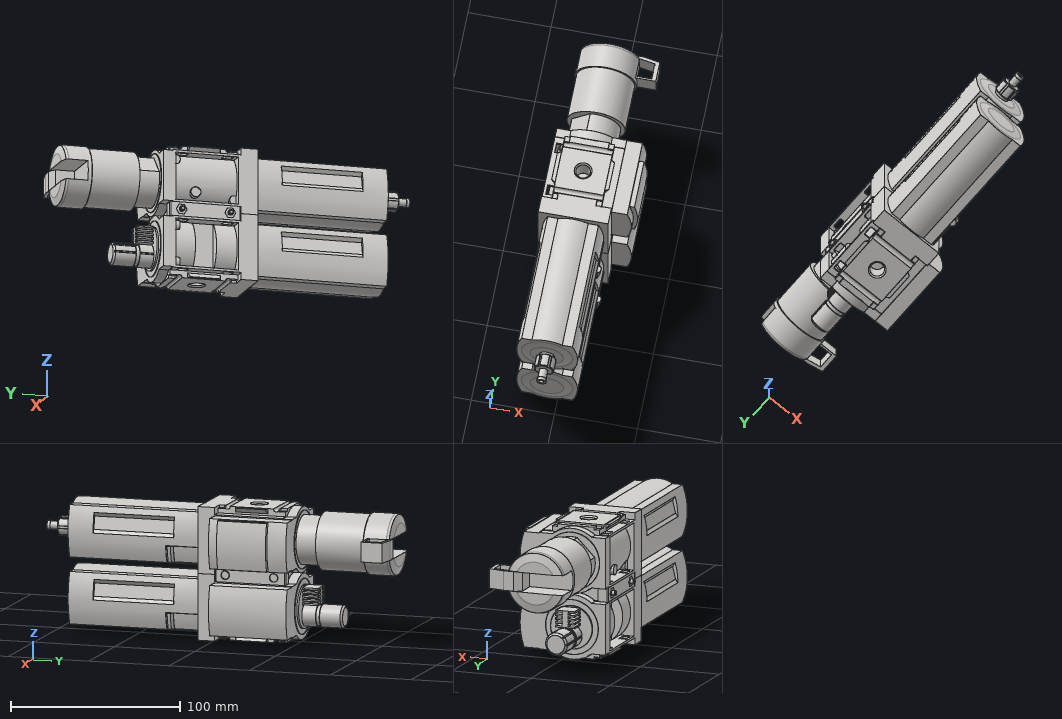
import cadquery as cq
import math


module_height = 40.2
half_height = module_height / 2
half_width = 21.1
lower_axis_z = -module_height
joint_z = -half_height

frame_half_height = 15.8
rear_half_height = 15.4
frame_half_length = 21.05
rear_flange_end = 27.0
rear_hub_radius = 19.8
front_flange_end = -31.5

window_half_length = 19.3
window_half_height = 14.4
window_depth = 11.0
core_radius = 19.0
frame_slot_x = (-19.2, -15.0)
frame_slot_length = 6.1
frame_slot_y = 14.0
core_boss_diameter = 6.1
core_boss_root_x = -10.0
core_boss_y = 6.3
core_boss_z = -8.4
core_boss_face_x = -19.3
corner_boss_y = 18.3
corner_boss_z = 11.3
corner_boss_face_x = -17.0
corner_lug_x = -16.0
corner_lug_length = 3.3
core_flat_x = -12.0
core_flat_half_length = 6.5

plate_half_width = 14.9
groove_diameter = 3.5
groove_y = 15.25
notch_width = 3.2
notch_length = 4.0
notch_depth = 1.5
port_diameter = 10.5
port_core_diameter = 8.6
port_depth = 12.0
port_chamfer = (port_diameter - port_core_diameter) / 2
lip_half_length = 10.2
lip_taper = 1.2
lip_reach = 2.3
lip_setback = 0.4
lip_height = 2.7
lip_top = half_height - lip_setback
lip_bottom = lip_top - lip_height

cover_edge_x = 30.6
cover_crown_x = 33.15
cover_half_height = 15.1
gauge_edge_x = 33.8
gauge_crown_x = 35.8
gauge_half_height = 14.6
gauge_half_length = 15.2

bowl_end = -113.0
bowl_half_width = 18.4
bowl_corner_x = 15.3
bowl_corner_z = 15.8
bowl_hub_radius = 18.25
base_cone_radius = 15.5
base_tip_radius = 10.0
base_cone_height = 0.8
sight_start = -47.4
sight_length = 50.0
sight_top = 12.1
sight_top_x = -16.6
sight_floor_upper = (-15.0, 9.7)
sight_floor_lower = (-16.9, 2.0)
bowl_side_rise = bowl_half_width - bowl_corner_x
bowl_side_radius = (bowl_corner_z**2 + bowl_side_rise**2) / (2 * bowl_side_rise)
bowl_side_centre_x = bowl_half_width - bowl_side_radius
latch_top = -5.0
latch_bottom = -14.9
latch_thickness = 0.6
button_height = 2.3
button_length = 4.8
button_chamfer = 1.4

drain_end = -131.2
drain_nut_start = -115.5
drain_nut_end = -123.6
drain_nut_diameter = 12.0
drain_neck_diameter = 9.2
drain_tip_diameter = 5.6
drain_tip_waist_diameter = 5.0
drain_tip_collar = 2.0
drain_bore_diameter = 3.0
drain_bore_depth = 10.0
drain_nut_chamfer = 0.5
drain_slot_count = 6
drain_slot_width = 1.5
drain_slot_depth = 0.9

collar_diameter = 35.0
collar_height = 0.45
collar_end = rear_flange_end + collar_height
stem_diameter = 29.8
stem_flat_distance = 12.7
knob_start = 40.4
knob_diameter = 35.2
cap_start = 70.1
cap_diameter = 37.2
cap_rim = 84.4
cap_edge = 86.0
cap_edge_radius = 18.1
cap_end = 87.3
cap_top_radius = 13.0
cap_slot_width = 12.0
cap_slot_floor = 72.7

loop_start_x = 9.0
loop_ramp_x = 13.5
loop_shoulder_x = 20.0
loop_outer_x = 29.8
loop_outer_y = 85.5
loop_hole_x = (17.6, 27.0)
loop_hole_floor = 74.0
loop_hole_top = (85.5, 83.9)

switch_disc_radius = 16.7
switch_hub_radius = 13.2
switch_hub_end = 28.5
switch_plug_offset_z = -4.8
switch_plug_diameter = 13.8
switch_plug_end = 53.4
switch_plug_chamfer = 1.2
switch_groove_diameter = 12.6
switch_groove_y = (37.0, 39.3)
switch_flute_width = 0.9
switch_flute_depth = 0.6
fin_block_end = 38.4
fin_block_half_width = 6.0
fin_block_z = (2.0, 12.3)
fin_count = 5
fin_thickness = 1.0
fin_depth = 4.0

clamp_half_height = half_height - frame_half_height
clamp_rear = 22.9
clamp_edge_chamfer = 0.7
bolt_positions_y = (15.7, -14.4)
bolt_diameter = 3.0
bolt_tail_x = -23.5
bolt_tail_chamfer = 0.5
bolt_head_diameter = 5.0
bolt_head_x = 21.8
bolt_head_height = 3.0
nut_corner_diameter = 6.6
nut_thickness = 2.4


def box(x_range, y_range, z_range):
    """Block between two limits on each axis."""
    size = [high - low for low, high in (x_range, y_range, z_range)]
    corner = (x_range[0], y_range[0], z_range[0])
    return cq.Workplane("XY", origin=corner).box(*size, centered=False)


def both(limit):
    """Symmetric range about zero."""
    return (-limit, limit)


def rod_y(radius, y_start, y_end, x=0, z=0):
    """Cylinder parallel to Y, with y_start below y_end."""
    return cq.Workplane("XZ", origin=(x, y_start, z)).circle(radius).extrude(y_start - y_end)


def rod_x(diameter, x_start, x_end, y, z):
    """Cylinder parallel to X, with x_start below x_end."""
    return cq.Workplane("YZ", origin=(x_start, y, z)).circle(diameter / 2).extrude(x_end - x_start)


def crowned_block(edge_x, crown_x, half, y_range):
    """Block on the +X side whose outer face is an arc bulging from edge_x to crown_x."""
    outline = (
        cq.Workplane("XZ", origin=(0, y_range[0], 0))
        .moveTo(half_width, -half)
        .lineTo(edge_x, -half)
        .threePointArc((crown_x, 0), (edge_x, half))
        .lineTo(half_width, half)
        .close()
    )
    return outline.extrude(y_range[0] - y_range[1])


def open_frame():
    """Middle of the housing: a block whose -X side opens onto a cylindrical core."""
    frame = box(both(half_width), both(frame_half_length), both(frame_half_height))
    cavity = box(
        (-half_width, -half_width + window_depth), both(window_half_length), both(window_half_height)
    )
    core = rod_y(core_radius, -window_half_length, window_half_length)
    frame = frame.cut(cavity.cut(core))
    for y in both(frame_slot_y):
        slot_y = (y - frame_slot_length / 2, y + frame_slot_length / 2)
        for wall in both(frame_half_height):
            wall_z = sorted((wall, math.copysign(window_half_height, wall)))
            frame = frame.cut(box(frame_slot_x, slot_y, wall_z))
    return frame


def port_plate(side):
    """Grooved plate with a flat outer face; side is +1 for up, -1 for down."""
    plate = box(
        both(plate_half_width),
        both(frame_half_length),
        (frame_half_height, half_height),
    )
    for y in both(groove_y):
        plate = plate.cut(rod_x(groove_diameter, -plate_half_width, plate_half_width, y, half_height))
    notch_x = plate_half_width - notch_width / 2
    notch_y = frame_half_length - notch_length / 2
    notches = (
        cq.Workplane("XY", origin=(0, 0, half_height))
        .rect(2 * notch_x, 2 * notch_y, forConstruction=True)
        .vertices()
        .rect(notch_width, notch_length)
        .extrude(-notch_depth)
    )
    plate = plate.cut(notches).union(plate_lip()).union(plate_lip().mirror("YZ"))
    return plate if side > 0 else plate.mirror("XY")


def plate_lip():
    """Undercut lip with tapered ends along the -X edge of the upper port plate."""
    lip_x = -plate_half_width - lip_reach
    lip = (
        cq.Workplane("XZ", origin=(0, lip_half_length, 0))
        .moveTo(-plate_half_width, lip_top)
        .lineTo(lip_x, lip_top)
        .lineTo(-plate_half_width, lip_bottom)
        .close()
        .extrude(2 * lip_half_length)
    )
    return lip.intersect(
        cq.Workplane("XY", origin=(0, 0, lip_bottom))
        .moveTo(-plate_half_width, -lip_half_length)
        .lineTo(lip_x, lip_taper - lip_half_length)
        .lineTo(lip_x, lip_half_length - lip_taper)
        .lineTo(-plate_half_width, lip_half_length)
        .close()
        .extrude(lip_top - lip_bottom)
    )


def port_hole(side):
    """Blind port with a chamfered mouth in the outer face."""
    hole = (
        cq.Workplane("XY", origin=(0, 0, half_height))
        .circle(port_core_diameter / 2)
        .extrude(-port_depth)
    )
    mouth = (
        cq.Workplane("XY", origin=(0, 0, half_height))
        .circle(port_diameter / 2)
        .workplane(offset=-port_chamfer)
        .circle(port_core_diameter / 2)
        .loft()
    )
    hole = hole.union(mouth)
    return hole if side > 0 else hole.mirror("XY")


def bowl_side_strip(offset, y_range):
    """Strip that lies on the +X side of the bowl and stands out from it by offset."""
    strip = box((bowl_corner_x - bowl_side_rise, half_width + offset), y_range, (latch_bottom, latch_top))
    limit = rod_y(bowl_side_radius + offset, *y_range, x=bowl_side_centre_x)
    return strip.intersect(limit)


def sight_pocket():
    """Sight-glass recess in the -X side of the bowl."""
    outline = [
        (-half_width, sight_top),
        (sight_top_x, sight_top),
        sight_floor_upper,
        sight_floor_lower,
        (-bowl_half_width, 0),
        (-half_width, 0),
    ]
    return cq.Workplane("XZ", origin=(0, sight_start, 0)).polyline(outline).close().extrude(sight_length)


def bowl():
    """Bowl with bulged sides, round ribs, sight glasses and a latch."""
    length = front_flange_end - bowl_end
    body = (
        cq.Workplane("XZ", origin=(0, front_flange_end, 0))
        .moveTo(-bowl_corner_x, bowl_corner_z)
        .lineTo(bowl_corner_x, bowl_corner_z)
        .threePointArc((bowl_half_width, 0), (bowl_corner_x, -bowl_corner_z))
        .lineTo(-bowl_corner_x, -bowl_corner_z)
        .threePointArc((-bowl_half_width, 0), (-bowl_corner_x, bowl_corner_z))
        .close()
        .extrude(length)
    )
    body = body.union(rod_y(bowl_hub_radius, bowl_end, front_flange_end))
    body = body.cut(sight_pocket()).cut(sight_pocket().mirror("YZ"))
    base = (
        cq.Workplane("XZ", origin=(0, bowl_end, 0))
        .circle(base_cone_radius)
        .workplane(offset=base_cone_height)
        .circle(base_tip_radius)
        .loft()
    )
    latch = bowl_side_strip(latch_thickness, (sight_start, front_flange_end))
    button = bowl_side_strip(button_height, (sight_start - button_length, sight_start))
    button = button.faces(">Y or <Y").edges(">X").chamfer(button_chamfer)
    return body.union(base).union(latch).union(button)


def module(side):
    """Housing, bowl and side cover common to both modules, centred on the Y axis."""
    body = open_frame().union(port_plate(side))
    rear = box(both(half_width), (frame_half_length, rear_flange_end), both(rear_half_height))
    hub = rod_y(rear_hub_radius, frame_half_length, rear_flange_end)
    front = box(both(half_width), (front_flange_end, -frame_half_length), both(half_height))
    cover = crowned_block(
        cover_edge_x, cover_crown_x, cover_half_height, (-frame_half_length, rear_flange_end)
    )
    for piece in (rear, hub, front, cover, bowl()):
        body = body.union(piece)
    return body.cut(port_hole(side))


def drain():
    """Drain valve under the upper bowl: slotted nut and a hollow hose tip."""
    neck = rod_y(drain_neck_diameter / 2, drain_nut_start, bowl_end)
    nut = rod_y(drain_nut_diameter / 2, drain_nut_end, drain_nut_start).edges().chamfer(drain_nut_chamfer)
    for index in range(drain_slot_count):
        slot = box(
            (drain_nut_diameter / 2 - drain_slot_depth, drain_nut_diameter / 2),
            (drain_nut_end, drain_nut_start),
            both(drain_slot_width / 2),
        )
        nut = nut.cut(slot.rotate((0, 0, 0), (0, 1, 0), index * 360 / drain_slot_count))
    tip = rod_y(drain_tip_waist_diameter / 2, drain_end, drain_nut_end)
    collar = rod_y(drain_tip_diameter / 2, drain_end, drain_end + drain_tip_collar)
    bore = rod_y(drain_bore_diameter / 2, drain_end, drain_end + drain_bore_depth)
    return neck.union(nut).union(tip).union(collar).cut(bore)


def knob():
    """Regulator knob on its stem, with a slotted cap and a padlock loop."""
    collar = rod_y(collar_diameter / 2, rear_flange_end, collar_end)
    stem = rod_y(stem_diameter / 2, collar_end, knob_start)
    flat = box(both(stem_diameter), (collar_end, knob_start), (stem_flat_distance, stem_diameter))
    stem = stem.cut(flat.rotate((0, 0, 0), (0, 1, 0), -45))
    grip = rod_y(knob_diameter / 2, knob_start, cap_start)
    cap = (
        cq.Workplane("XY")
        .moveTo(0, cap_start)
        .lineTo(cap_diameter / 2, cap_start)
        .lineTo(cap_diameter / 2, cap_rim)
        .lineTo(cap_edge_radius, cap_edge)
        .lineTo(cap_top_radius, cap_end)
        .lineTo(0, cap_end)
        .close()
        .revolve(360, (0, 0, 0), (0, 1, 0))
    )
    slot = box(both(cap_diameter), (cap_slot_floor, cap_end), both(cap_slot_width / 2))
    return collar.union(stem).union(grip).union(cap.cut(slot)).union(padlock_loop())


def padlock_loop():
    """Hasp in the cap slot that reaches out on the +X side and has a square eye."""
    hasp = (
        cq.Workplane("XY", origin=(0, 0, -cap_slot_width / 2))
        .moveTo(loop_start_x, cap_slot_floor)
        .lineTo(loop_start_x, cap_rim)
        .lineTo(loop_ramp_x, cap_end)
        .lineTo(loop_shoulder_x, cap_end)
        .lineTo(loop_outer_x, loop_outer_y)
        .lineTo(loop_outer_x, cap_slot_floor)
        .close()
        .extrude(cap_slot_width)
    )
    eye = (
        cq.Workplane("XY", origin=(0, 0, -cap_slot_width / 2))
        .moveTo(loop_hole_x[0], loop_hole_floor)
        .lineTo(loop_hole_x[1], loop_hole_floor)
        .lineTo(loop_hole_x[1], loop_hole_top[1])
        .lineTo(loop_hole_x[0], loop_hole_top[0])
        .close()
        .extrude(cap_slot_width)
    )
    return hasp.cut(eye)


def core_bosses():
    """Three round pads standing on the upper core."""
    pads = rod_x(core_boss_diameter, core_boss_face_x, core_boss_root_x, core_boss_y, core_boss_z)
    for end in (1, -1):
        y = end * corner_boss_y
        z = end * corner_boss_z
        pads = pads.union(rod_x(core_boss_diameter, corner_boss_face_x, core_boss_root_x, y, z))
    return pads.intersect(box(both(half_width), both(window_half_length), both(window_half_height)))


upper_module = (
    module(1)
    .union(core_bosses())
    .union(crowned_block(gauge_edge_x, gauge_crown_x, gauge_half_height, both(gauge_half_length)))
    .union(drain())
    .union(knob())
)


def pressure_switch():
    """Switch head with a round plug and a ribbed block."""
    disc = rod_y(switch_disc_radius, rear_flange_end, collar_end)
    hub = rod_y(switch_hub_radius, collar_end, switch_hub_end)
    return disc.union(hub).union(switch_plug()).union(ribbed_block())


def switch_plug():
    """Round plug with a ring groove, a long flute on its -X side and a short one above it."""
    radius = switch_plug_diameter / 2
    plug = rod_y(radius, switch_hub_end, switch_plug_end).faces(">Y").chamfer(switch_plug_chamfer)
    ring = rod_y(switch_plug_diameter, *switch_groove_y)
    plug = plug.cut(ring.cut(rod_y(switch_groove_diameter / 2, *switch_groove_y)))
    flute_x = (-radius, switch_flute_depth - radius)
    flute_z = both(switch_flute_width / 2)
    side_flute = box(flute_x, (switch_hub_end, switch_plug_end), flute_z)
    upper_flute = box(flute_x, (switch_groove_y[1], switch_plug_end), flute_z)
    plug = plug.cut(side_flute).cut(upper_flute.rotate((0, 0, 0), (0, 1, 0), 45))
    return plug.translate((0, 0, switch_plug_offset_z))


def ribbed_block():
    """Block with ribs running along Y on both X sides."""
    y_range = (switch_hub_end, fin_block_end)
    spine = box(both(fin_block_half_width - fin_depth), y_range, fin_block_z)
    pitch = (fin_block_z[1] - fin_block_z[0] - fin_thickness) / (fin_count - 1)
    for index in range(fin_count):
        z = fin_block_z[0] + index * pitch
        spine = spine.union(box(both(fin_block_half_width), y_range, (z, z + fin_thickness)))
    return spine


def core_flat():
    """Recess that leaves a flat band across the lower core."""
    return box((-half_width, core_flat_x), both(core_flat_half_length), both(window_half_height))


def corner_lugs():
    """Two round lugs at the rear corners of the window."""
    lug_start = window_half_length - corner_lug_length
    lug = rod_y(core_boss_diameter / 2, lug_start, window_half_length, x=corner_lug_x, z=corner_boss_z)
    lug = lug.intersect(box(both(half_width), both(window_half_length), both(window_half_height)))
    return lug.union(lug.mirror("XY"))


lower_module = (
    module(-1)
    .cut(core_flat())
    .union(corner_lugs())
    .union(pressure_switch())
    .translate((0, 0, lower_axis_z))
)


def bolt(y):
    """Bolt along X with a head on the +X side and a hexagon nut flush with the -X side."""
    shank = rod_x(bolt_diameter, bolt_tail_x, bolt_head_x, y, joint_z).faces("<X").chamfer(bolt_tail_chamfer)
    head = rod_x(bolt_head_diameter, bolt_head_x - bolt_head_height, bolt_head_x, y, joint_z)
    nut = (
        cq.Workplane("YZ", origin=(-half_width, y, joint_z))
        .polygon(6, nut_corner_diameter)
        .extrude(nut_thickness)
    )
    return shank.union(head).union(nut)


bolts = [bolt(y) for y in bolt_positions_y]


def module_connector():
    """Block between the modules with a longer jaw along each side, bored for the bolts."""
    z_range = (joint_z - clamp_half_height, joint_z + clamp_half_height)
    y_range = both(frame_half_length)
    body = box(both(plate_half_width), y_range, z_range)
    for x_range in ((-half_width, -plate_half_width), (plate_half_width, half_width)):
        jaw = box(x_range, (-frame_half_length, clamp_rear), z_range)
        outer = "<X" if x_range[0] < 0 else ">X"
        body = body.union(jaw.faces(outer).edges("|Z").chamfer(clamp_edge_chamfer))
    for fitted_bolt in bolts:
        body = body.cut(fitted_bolt)
    return body


connector = module_connector()

bodies = [upper_module, lower_module, connector, *bolts]
result = cq.Compound.makeCompound([body.solids().val() for body in bodies])